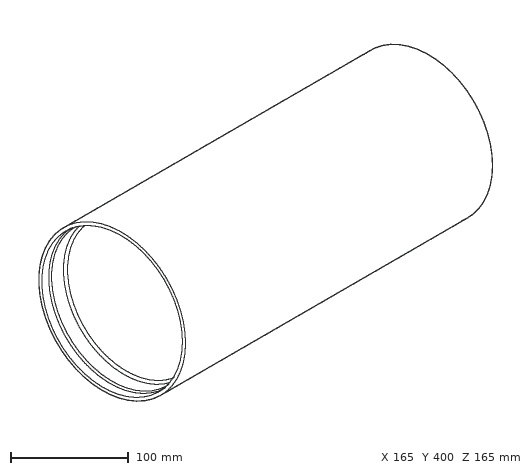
import cadquery as cq

length = 400.0
outer_radius = 82.5
bore_radius = 75.5

mouth_radius = 79.0
seat_radius = 78.0
mouth_depth = 9.0
entry_taper_length = 2.6
seat_end = 27.0

front_y = -length / 2
back_y = length / 2
seat_start = mouth_depth + entry_taper_length
bore_start = seat_end + (seat_radius - bore_radius)


def tube_wall():
    """Revolve the wall's half section (radius along X) about the Y axis."""
    section = (
        cq.Workplane("XY")
        .moveTo(outer_radius, front_y)
        .lineTo(mouth_radius, front_y)
        .lineTo(mouth_radius, front_y + mouth_depth)
        .lineTo(seat_radius, front_y + seat_start)
        .lineTo(seat_radius, front_y + seat_end)
        .lineTo(bore_radius, front_y + bore_start)
        .lineTo(bore_radius, back_y)
        .lineTo(outer_radius, back_y)
        .close()
    )
    return section.revolve(360, (0, 0, 0), (0, 1, 0))


result = tube_wall()